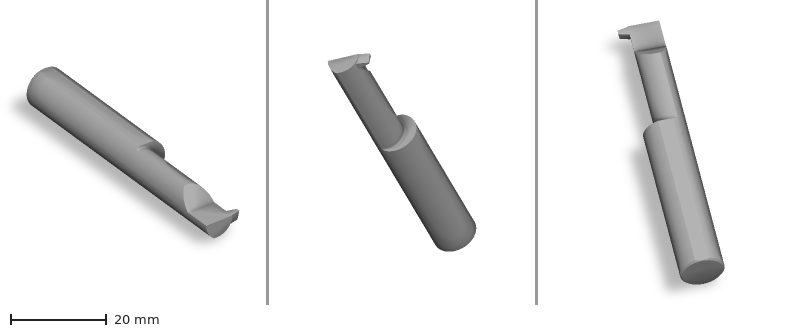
import cadquery as cq

total_length = 63.5
shank_radius = 4.75
shank_length = 36.1
shank_flat_height = 4.5
shank_chamfer = 0.4

neck_radius = 3.9
neck_center_y = -1.85
neck_fillet = 0.5
neck_back_y = neck_center_y + neck_radius

rake_face_z = 0.0
rake_face_start = 57.0

tooth_base_start = 61.35
tooth_base_end = 63.4
tooth_tip_start = 62.0
tooth_tip_end = 62.85
tooth_tip_y = 4.3
tooth_depth = 2.2
tooth_relief_angle = 8.0

clearance = 2 * shank_radius
front_y = -clearance
selection_slack = 0.05


def make_bar():
    bar = cq.Workplane("YZ").circle(shank_radius).extrude(total_length)
    bar = bar.faces("<X").chamfer(shank_chamfer)
    flat_cut = cq.Workplane("XY").workplane(offset=shank_flat_height).rect(
        2 * total_length, 2 * clearance).extrude(clearance)
    return bar.cut(flat_cut)


def make_neck_cutter():
    """Block around the neck; its rounded inner rim leaves the shoulder fillet."""
    neck_length = total_length - shank_length
    start_plane = cq.Workplane("YZ").workplane(offset=shank_length)
    block = start_plane.rect(2 * clearance, 2 * clearance).extrude(neck_length)
    neck = (
        start_plane.moveTo(2 * front_y, -neck_radius)
        .lineTo(neck_center_y, -neck_radius)
        .threePointArc((neck_back_y, 0), (neck_center_y, neck_radius))
        .lineTo(2 * front_y, neck_radius)
        .close()
        .extrude(neck_length)
    )
    rim = cq.selectors.BoxSelector(
        (shank_length - selection_slack, front_y - selection_slack, -neck_radius - selection_slack),
        (shank_length + selection_slack, neck_back_y + selection_slack, neck_radius + selection_slack),
    )
    return block.cut(neck).edges(rim).fillet(neck_fillet)


def make_head_cutter():
    """Ramp and clearance above the rake face."""
    top_z = rake_face_z + clearance
    return (
        cq.Workplane("XZ")
        .moveTo(rake_face_start, rake_face_z)
        .lineTo(total_length, rake_face_z)
        .lineTo(total_length, top_z)
        .lineTo(rake_face_start - clearance, top_z)
        .close()
        .extrude(clearance, both=True)
    )


def make_tooth():
    """Tapered point with relief on its flanks, rooted inside the neck."""
    return (
        cq.Workplane("XY").workplane(offset=rake_face_z)
        .moveTo(tooth_base_start, neck_center_y)
        .lineTo(tooth_base_start, neck_back_y)
        .lineTo(tooth_tip_start, tooth_tip_y)
        .lineTo(tooth_tip_end, tooth_tip_y)
        .lineTo(tooth_base_end, neck_back_y)
        .lineTo(tooth_base_end, neck_center_y)
        .close()
        .extrude(-tooth_depth, taper=tooth_relief_angle)
    )


result = make_bar().cut(make_neck_cutter()).cut(make_head_cutter()).union(make_tooth())